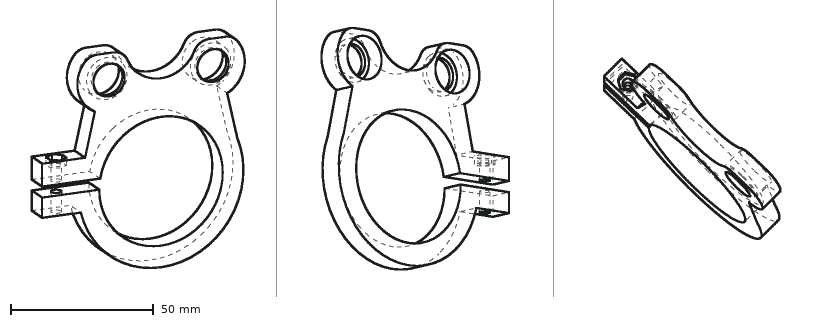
import cadquery as cq
import math

THICKNESS = 9.0

BORE_RADIUS = 23.75
RING_WALL = 8.0
RING_RADIUS = BORE_RADIUS + RING_WALL

LUG_LENGTH = 14.0
LUG_END = -(RING_RADIUS + LUG_LENGTH)
SLIT_BOTTOM = 0.1
SLIT_WIDTH = 4.0
SLIT_TOP = SLIT_BOTTOM + SLIT_WIDTH
UPPER_LUG_HEIGHT = 8.5
LOWER_LUG_HEIGHT = 7.5
LUG_TOP = SLIT_TOP + UPPER_LUG_HEIGHT
LUG_BOTTOM = SLIT_BOTTOM - LOWER_LUG_HEIGHT

SCREW_DIAMETER = 3.75
SCREW_TO_LUG_END = 7.4
SCREW_Y = LUG_END + SCREW_TO_LUG_END
NUT_CORNERS = 7.2
NUT_DEPTH = 2.8

EAR_Y = 20.0
EAR_Z = 40.0
EAR_RADIUS = 12.25
EAR_TOP = 50.0
EAR_HOLE_DIAMETER = 12.0
SEAT_DIAMETER = 15.5
SEAT_DEPTH = 7.0
CORNER_RADIUS = 6.0

DIP_RADIUS = 14.0
DIP_Z = 52.0

WEB_TOP_Y = 25.5
WEB_FOOT_Z = 12.0


def prism(outline):
    """Extrude an outline in the YZ plane through the full thickness."""
    return outline.extrude(THICKNESS)


def disc(radius):
    """Full-thickness disc on the bore axis."""
    return prism(cq.Workplane("YZ").circle(radius))


def block(y_min, y_max, z_min, z_max):
    """Full-thickness box between the given limits."""
    width = y_max - y_min
    height = z_max - z_min
    center = ((y_min + y_max) / 2, (z_min + z_max) / 2)
    return prism(cq.Workplane("YZ").center(*center).rect(width, height))


def head():
    """Ears, dip and web: the +Y half as one outline, mirrored across the XZ plane."""
    round_z = EAR_TOP - CORNER_RADIUS
    outer_reach = EAR_RADIUS - CORNER_RADIUS
    outer_y = EAR_Y + math.sqrt(outer_reach**2 - (round_z - EAR_Z) ** 2)
    outer_angle = math.atan2(round_z - EAR_Z, outer_y - EAR_Y)
    inner_reach = DIP_RADIUS + CORNER_RADIUS
    inner_y = math.sqrt(inner_reach**2 - (DIP_Z - round_z) ** 2)
    inner_angle = math.atan2(DIP_Z - round_z, -inner_y)

    web_angle = -math.acos((WEB_TOP_Y - EAR_Y) / EAR_RADIUS)
    foot_y = math.sqrt(RING_RADIUS**2 - WEB_FOOT_Z**2)

    def on_circle(y, z, radius, angle):
        return (y + radius * math.cos(angle), z + radius * math.sin(angle))

    def on_ear(angle):
        return on_circle(EAR_Y, EAR_Z, EAR_RADIUS, angle)

    def on_outer(angle):
        return on_circle(outer_y, round_z, CORNER_RADIUS, angle)

    def on_inner(angle):
        return on_circle(inner_y, round_z, CORNER_RADIUS, angle)

    up = math.pi / 2
    down = -math.pi / 2
    dip_start = inner_angle - math.pi
    half = (
        cq.Workplane("YZ")
        .moveTo(0, 0)
        .lineTo(foot_y, WEB_FOOT_Z)
        .lineTo(*on_ear(web_angle))
        .threePointArc(on_ear((web_angle + outer_angle) / 2), on_ear(outer_angle))
        .threePointArc(on_outer((outer_angle + up) / 2), on_outer(up))
        .lineTo(inner_y, EAR_TOP)
        .threePointArc(on_inner((up + inner_angle) / 2), on_inner(inner_angle))
        .threePointArc(
            on_circle(0, DIP_Z, DIP_RADIUS, (dip_start + down) / 2),
            (0, DIP_Z - DIP_RADIUS),
        )
        .close()
    )
    ear_side = prism(half)
    return ear_side.union(ear_side.mirror("XZ"))


def ear_holes():
    """Through holes, each with a wide bearing seat sunk from the -X face."""
    cutters = cq.Workplane("YZ")
    for y in (-EAR_Y, EAR_Y):
        spot = cq.Workplane("YZ").center(y, EAR_Z)
        cutters = cutters.union(spot.circle(EAR_HOLE_DIAMETER / 2).extrude(THICKNESS))
        cutters = cutters.union(spot.circle(SEAT_DIAMETER / 2).extrude(SEAT_DEPTH))
    return cutters


def clamp_screw():
    """Screw hole through both lugs with a hexagonal nut pocket in the upper lug."""
    top = cq.Workplane("XY", origin=(THICKNESS / 2, SCREW_Y, LUG_TOP))
    hole = top.circle(SCREW_DIAMETER / 2).extrude(LUG_BOTTOM - LUG_TOP)
    nut = top.polygon(6, NUT_CORNERS).extrude(-NUT_DEPTH)
    return hole.union(nut)


result = (
    disc(RING_RADIUS)
    .union(head())
    .union(block(LUG_END, 0, LUG_BOTTOM, LUG_TOP))
    .cut(disc(BORE_RADIUS))
    .cut(block(LUG_END, 0, SLIT_BOTTOM, SLIT_TOP))
    .cut(ear_holes())
    .cut(clamp_screw())
)